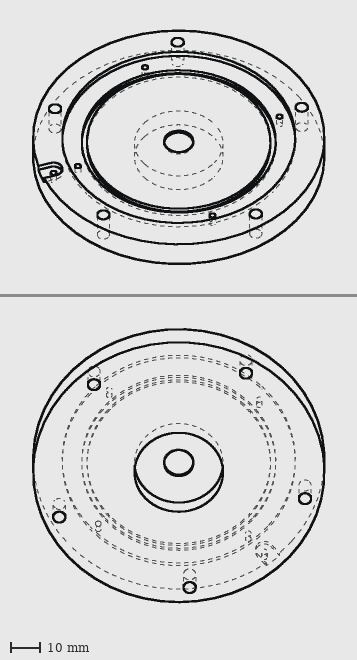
import cadquery as cq

outer_diameter = 100
thickness = 10

recess_diameter = 80
recess_depth = 2
recess_floor = thickness - recess_depth

groove_outer_diameter = 66.6
groove_inner_diameter = 63
groove_depth = 1.5

bore_diameter = 10
web_thickness = 1
relief_diameter = 30.4
relief_depth = recess_floor - web_thickness

bolt_count = 5
bolt_hole_diameter = 4.2
bolt_circle_radius = 44.5

pilot_count = 4
pilot_diameter = 2
pilot_depth = 4
pilot_circle_radius = 36.5

slot_width = 6
slot_depth = 2
slot_center_x = 0.4
slot_center_y = -45.4
slot_floor = thickness - slot_depth


def cylinder_down(diameter, top, depth, x=0, y=0):
    """Cylinder reaching downward from the height top."""
    return cq.Workplane("XY", origin=(x, y, top)).circle(diameter / 2).extrude(-depth)


def hole_ring(diameter, top, depth, ring_radius, count):
    """Evenly spaced cylinders on a circle, the first one toward +Y."""
    return (
        cq.Workplane("XY", origin=(0, 0, top))
        .polarArray(ring_radius, 90, 360, count)
        .circle(diameter / 2)
        .extrude(-depth)
    )


def edge_slot():
    """Slot cutter: a round inner end and a straight run out past the edge."""
    round_end = cylinder_down(slot_width, thickness, slot_depth, slot_center_x, slot_center_y)
    run_length = outer_diameter / 2 + slot_center_y + slot_width
    straight_run = cq.Workplane("XY").box(
        slot_width, run_length, slot_depth, centered=(True, False, False)
    )
    straight_run = straight_run.translate((slot_center_x, slot_center_y - run_length, slot_floor))
    return round_end.union(straight_run)


groove = cylinder_down(groove_outer_diameter, recess_floor, groove_depth).cut(
    cylinder_down(groove_inner_diameter, recess_floor, groove_depth)
)

result = (
    cylinder_down(outer_diameter, thickness, thickness)
    .cut(cylinder_down(recess_diameter, thickness, recess_depth))
    .cut(groove)
    .cut(cylinder_down(bore_diameter, recess_floor, recess_floor))
    .cut(cylinder_down(relief_diameter, relief_depth, relief_depth))
    .cut(hole_ring(bolt_hole_diameter, thickness, thickness, bolt_circle_radius, bolt_count))
    .cut(hole_ring(pilot_diameter, recess_floor, pilot_depth, pilot_circle_radius, pilot_count))
    .cut(edge_slot())
    .cut(cylinder_down(pilot_diameter, slot_floor, pilot_depth, slot_center_x, slot_center_y))
)